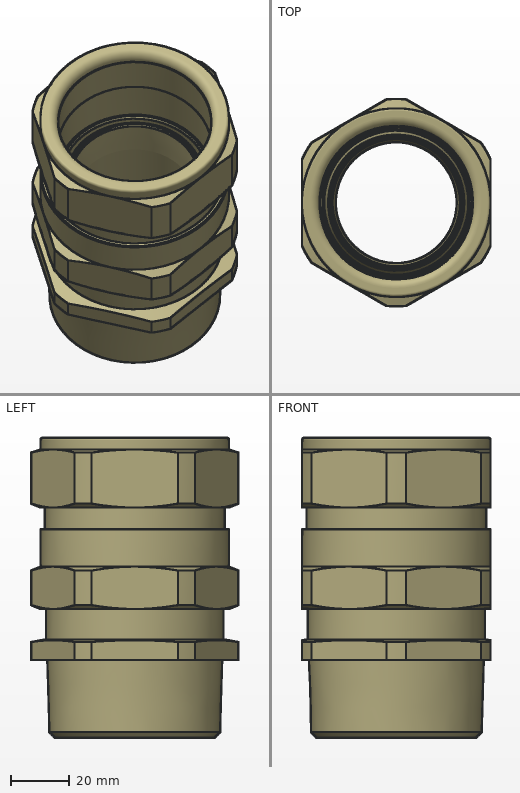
import cadquery as cq
import math


ACROSS_FLATS = 65.0
ACROSS_CORNERS = 71.5
FLAT_RADIUS = ACROSS_FLATS / 2
CORNER_RADIUS = ACROSS_CORNERS / 2
HEX_CHAMFER = 1.3

SEAT_Z = 69.6

THREAD_TIP_RADIUS = 29.5
THREAD_ROOT_RADIUS = 30.2
THREAD_TIP_CHAMFER = 2.0
FLANGE_BOTTOM = 26.8
FLANGE_TOP = 33.9
FLANGE_CHAMFER = 0.9
ENTRY_NECK_RADIUS = 30.6
BORE_RADIUS = 20.8
CONE_BASE_Z = 59.9
CONE_TOP_Z = SEAT_Z
CONE_BASE_RADIUS = 24.8
CONE_TOP_RADIUS = 23.5
CONE_EDGE_CHAMFER = 0.5
CONE_FOOT_CHAMFER = 0.4
FUNNEL_TOP_RADIUS = 21.9
FUNNEL_DEPTH = 12.4
FUNNEL_EDGE_CHAMFER = 0.6

MIDDLE_HEX_BOTTOM = 44.3
MIDDLE_HEX_TOP = 58.9
COLLAR_TOP = 71.9
COLLAR_CHAMFER = 0.3
MIDDLE_NECK_RADIUS = 31.0
MIDDLE_NECK_TOP = 85.4
SEAT_RADIUS = 25.3
SEAT_CHAMFER = 0.7
WIDE_BORE_RADIUS = 26.6

TOP_HEX_BOTTOM = 79.3
TOP_HEX_TOP = 99.2
TOP_HEX_UPPER_CHAMFER = 1.0
TOTAL_HEIGHT = 103.4
RIM_FILLET = 0.9
MOUTH_FILLET = 3.1
LIP_RADIUS = 26.4
LIP_HEIGHT = 0.6


def revolved(profile):
    """Solid of revolution about Z of a closed (radius, z) sketch on the XZ plane."""
    return profile.close().revolve(360, (0, 0, 0), (0, 1, 0))


def disc_stack(points):
    """Solid of revolution about Z whose outline runs straight through (radius, z) points."""
    return revolved(cq.Workplane("XZ").polyline(points))


def hexagon(bottom, top, lower_chamfer, upper_chamfer, upper_radius):
    """Hexagonal nut with turned corners; a chamfer of zero leaves the lower edge sharp."""
    corner_diameter = ACROSS_FLATS / math.cos(math.pi / 6)
    prism = (
        cq.Workplane("XY", origin=(0, 0, bottom))
        .transformed(rotate=(0, 0, 90))
        .polygon(6, corner_diameter)
        .extrude(top - bottom)
    )
    outline = [(0, bottom)]
    if lower_chamfer > 0:
        outline.append((FLAT_RADIUS, bottom))
    outline += [
        (CORNER_RADIUS, bottom + lower_chamfer),
        (CORNER_RADIUS, top - upper_chamfer),
        (upper_radius, top),
        (0, top),
    ]
    return prism.intersect(disc_stack(outline))


def make_entry_body():
    """Tapered entry thread, thin hexagonal flange, neck and inner clamping cone."""
    outside = disc_stack([
        (0, 0),
        (THREAD_TIP_RADIUS - THREAD_TIP_CHAMFER, 0),
        (THREAD_TIP_RADIUS, THREAD_TIP_CHAMFER),
        (THREAD_ROOT_RADIUS, FLANGE_BOTTOM),
        (ENTRY_NECK_RADIUS, FLANGE_BOTTOM),
        (ENTRY_NECK_RADIUS, CONE_BASE_Z),
        (CONE_BASE_RADIUS + CONE_FOOT_CHAMFER, CONE_BASE_Z),
        (CONE_BASE_RADIUS, CONE_BASE_Z + CONE_FOOT_CHAMFER),
        (CONE_TOP_RADIUS, CONE_TOP_Z - CONE_EDGE_CHAMFER),
        (CONE_TOP_RADIUS - CONE_EDGE_CHAMFER, CONE_TOP_Z),
        (0, CONE_TOP_Z),
    ])
    flange = hexagon(FLANGE_BOTTOM, FLANGE_TOP, 0, FLANGE_CHAMFER, ENTRY_NECK_RADIUS)
    bore = disc_stack([
        (0, 0),
        (BORE_RADIUS, 0),
        (BORE_RADIUS, CONE_TOP_Z - FUNNEL_DEPTH),
        (FUNNEL_TOP_RADIUS, CONE_TOP_Z - FUNNEL_EDGE_CHAMFER),
        (FUNNEL_TOP_RADIUS + FUNNEL_EDGE_CHAMFER, CONE_TOP_Z),
        (0, CONE_TOP_Z),
    ])
    return outside.union(flange).cut(bore)


def make_middle_nut():
    """Hexagon with a round collar and a neck, bored to take the entry body's neck and cone."""
    outside = disc_stack([
        (0, MIDDLE_HEX_TOP),
        (FLAT_RADIUS, MIDDLE_HEX_TOP),
        (FLAT_RADIUS, COLLAR_TOP - COLLAR_CHAMFER),
        (FLAT_RADIUS - COLLAR_CHAMFER, COLLAR_TOP),
        (MIDDLE_NECK_RADIUS, COLLAR_TOP),
        (MIDDLE_NECK_RADIUS, MIDDLE_NECK_TOP),
        (0, MIDDLE_NECK_TOP),
    ])
    hex_part = hexagon(MIDDLE_HEX_BOTTOM, MIDDLE_HEX_TOP, HEX_CHAMFER, HEX_CHAMFER, FLAT_RADIUS)
    bore = disc_stack([
        (0, MIDDLE_HEX_BOTTOM),
        (ENTRY_NECK_RADIUS, MIDDLE_HEX_BOTTOM),
        (ENTRY_NECK_RADIUS, CONE_BASE_Z),
        (SEAT_RADIUS, CONE_BASE_Z),
        (SEAT_RADIUS, SEAT_Z - SEAT_CHAMFER),
        (SEAT_RADIUS + SEAT_CHAMFER, SEAT_Z),
        (WIDE_BORE_RADIUS, SEAT_Z),
        (WIDE_BORE_RADIUS, MIDDLE_NECK_TOP),
        (0, MIDDLE_NECK_TOP),
    ])
    return outside.union(hex_part).cut(bore)


def make_top_nut():
    """Hexagon with a round rim and a rounded mouth, bored to take the middle nut's neck."""
    hex_part = hexagon(
        TOP_HEX_BOTTOM, TOP_HEX_TOP, HEX_CHAMFER, TOP_HEX_UPPER_CHAMFER, FLAT_RADIUS
    )
    rim = (
        cq.Workplane("XY", origin=(0, 0, TOP_HEX_TOP))
        .circle(FLAT_RADIUS)
        .extrude(TOTAL_HEIGHT - TOP_HEX_TOP)
        .faces(">Z").edges().fillet(RIM_FILLET)
    )
    lip_top = TOTAL_HEIGHT - MOUTH_FILLET
    lip_bottom = lip_top - LIP_HEIGHT
    bore = revolved(
        cq.Workplane("XZ")
        .moveTo(0, TOP_HEX_BOTTOM)
        .lineTo(MIDDLE_NECK_RADIUS, TOP_HEX_BOTTOM)
        .lineTo(MIDDLE_NECK_RADIUS, MIDDLE_NECK_TOP)
        .lineTo(WIDE_BORE_RADIUS, MIDDLE_NECK_TOP)
        .lineTo(WIDE_BORE_RADIUS, lip_bottom)
        .lineTo(LIP_RADIUS, lip_bottom)
        .lineTo(LIP_RADIUS, lip_top)
        .radiusArc((LIP_RADIUS + MOUTH_FILLET, TOTAL_HEIGHT), MOUTH_FILLET)
        .lineTo(0, TOTAL_HEIGHT)
    )
    return hex_part.union(rim).cut(bore)


entry_body = make_entry_body()
middle_nut = make_middle_nut()
top_nut = make_top_nut()

result = cq.Compound.makeCompound([entry_body.val(), middle_nut.val(), top_nut.val()])